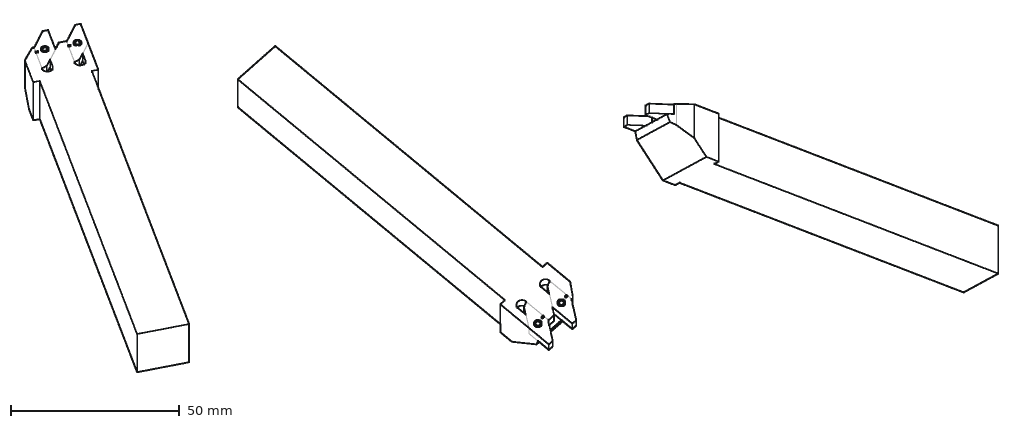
import cadquery as cq
import math


total_length = 130.0
height = 16.0
shank_width = 16.0
head_width = 20.0
head_end = 20.0

nose_front = 4.5
nose_setback = 0.6
nose_drop = 5.9
land_front = 5.9
corner_knee = (6.3, -6.8)
corner_end = (10.5, -head_width / 2)
corner_steep_angle = 51.0

insert_pitch = 10.0
insert_width = 6.0
insert_thickness = 3.2
insert_angle = 35.0
insert_tip = 1.7
insert_shoulder = 14.4
insert_length = 15.1
insert_tops = [head_width / 2, head_width / 2 - insert_pitch]

groove_x = 7.4
groove_outer_diameter = 2.4
groove_inner_diameter = 1.5
groove_depth = 0.3
notch_x = 7.95
notch_width = 0.5
notch_length = 0.8
notch_depth = 0.3

relief_width = 3.3
relief_start = 12.0
relief_end = 16.9

flank_slope = math.tan(math.radians(insert_angle))
flank_run = (insert_width - insert_tip) / flank_slope
flank_start = insert_shoulder - flank_run


def prism(points, depth):
    """Plan outline extruded down from the top face."""
    return cq.Workplane("XY").polyline(points).close().extrude(-depth)


def make_head():
    half = head_width / 2
    steep_slope = math.tan(math.radians(corner_steep_angle))
    corner_front = (nose_front, corner_knee[1] + (corner_knee[0] - nose_front) * steep_slope)
    plan = prism(
        [(nose_front, half), corner_front, corner_knee, corner_end, (head_end, -half), (head_end, half)],
        height,
    )
    slope_start = nose_front + nose_setback
    slope_end = slope_start + height - nose_drop
    side = (
        cq.Workplane("XZ")
        .polyline([
            (nose_front, 0),
            (nose_front, -insert_thickness),
            (slope_start, -nose_drop),
            (slope_end, -height),
            (head_end, -height),
            (head_end, 0),
        ])
        .close()
        .extrude(half, both=True)
    )
    above_floor = cq.Workplane("XY").box(
        land_front, head_width, insert_thickness, centered=(False, True, False)
    )
    return plan.intersect(side).cut(above_floor.translate((0, 0, -insert_thickness)))


def make_shank():
    length = total_length - head_end
    shank = cq.Workplane("XY").box(length, shank_width, height, centered=(False, True, False))
    return shank.translate((head_end, 0, -height))


def make_insert(top):
    bottom = top - insert_width
    blank = prism(
        [
            (0, top),
            (0, top - insert_tip),
            (flank_run, bottom),
            (insert_length, bottom),
            (insert_shoulder, bottom + insert_tip),
            (flank_start, top),
        ],
        insert_thickness,
    )
    groove = (
        cq.Workplane("XY")
        .center(groove_x, top - insert_width / 2)
        .circle(groove_outer_diameter / 2)
        .circle(groove_inner_diameter / 2)
        .extrude(-groove_depth)
    )
    notch = (
        cq.Workplane("XY")
        .center(notch_x, bottom + notch_length / 2)
        .rect(notch_width, notch_length)
        .extrude(-notch_depth)
    )
    return blank.cut(groove).cut(notch)


def make_seat(top):
    """Seat under one insert; its upper wall follows the insert flank forward past the nose."""
    bottom = top - insert_width
    return prism(
        [
            (0, bottom),
            (insert_length, bottom),
            (insert_shoulder, bottom + insert_tip),
            (0, top + flank_start * flank_slope),
        ],
        insert_thickness,
    )


def make_relief(top):
    bottom = top - insert_width
    radius = relief_width / 2
    round_start = relief_end - radius
    return (
        cq.Workplane("XY")
        .moveTo(relief_start, bottom)
        .lineTo(round_start, bottom)
        .threePointArc((relief_end, bottom + radius), (round_start, bottom + relief_width))
        .lineTo(relief_start, bottom + relief_width)
        .close()
        .extrude(-insert_thickness)
    )


holder = make_head().union(make_shank())
for insert_top in insert_tops:
    holder = holder.cut(make_seat(insert_top)).cut(make_relief(insert_top))

result = holder
for insert_top in insert_tops:
    result = result.union(make_insert(insert_top), clean=False)